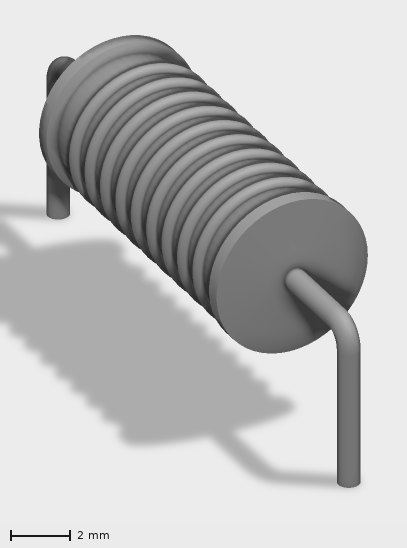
import cadquery as cq

overall_length = 21.12
wire_diameter = 0.8
bend_radius = 0.8
lead_bottom = -5.988

core_radius = 2.58
flange_radius = 2.905
end_flat_radius = 0.61
end_half_length = 6.4
rim_half_length = 6.2
flange_inner = 5.68
core_half_length = 5.5

bead_count = 9
bead_pitch = 1.08
bead_radius = 0.25
bead_group_center = 0.13


def make_body():
    """Core with a tapered flange and a shallow conical face at each end."""
    profile = [
        (end_half_length, 0),
        (end_half_length, end_flat_radius),
        (rim_half_length, flange_radius),
        (flange_inner, flange_radius),
        (core_half_length, core_radius),
    ]
    mirrored = [(-x, r) for x, r in reversed(profile)]
    outline = cq.Workplane("XY").polyline(profile + mirrored).close()
    return outline.revolve(360, (0, 0, 0), (1, 0, 0))


def make_bead(x):
    """Ring with a round section centred on the core surface."""
    section = cq.Workplane("XY").center(x, core_radius).circle(bead_radius)
    return section.revolve(360, (0, -core_radius, 0), (1, -core_radius, 0))


def make_left_lead():
    """Wire that leaves the end face along X and bends down."""
    drop_x = -(overall_length - wire_diameter) / 2
    path = (
        cq.Workplane("XZ")
        .moveTo(-core_half_length, 0)
        .lineTo(drop_x + bend_radius, 0)
        .tangentArcPoint((drop_x, -bend_radius), relative=False)
        .lineTo(drop_x, lead_bottom)
    )
    start = cq.Workplane("YZ", origin=(-core_half_length, 0, 0))
    return start.circle(wire_diameter / 2).sweep(path)


result = make_body()
for index in range(bead_count):
    bead_offset = (index - (bead_count - 1) / 2) * bead_pitch
    result = result.union(make_bead(bead_group_center + bead_offset))

left_lead = make_left_lead()
result = result.union(left_lead).union(left_lead.mirror("YZ"))